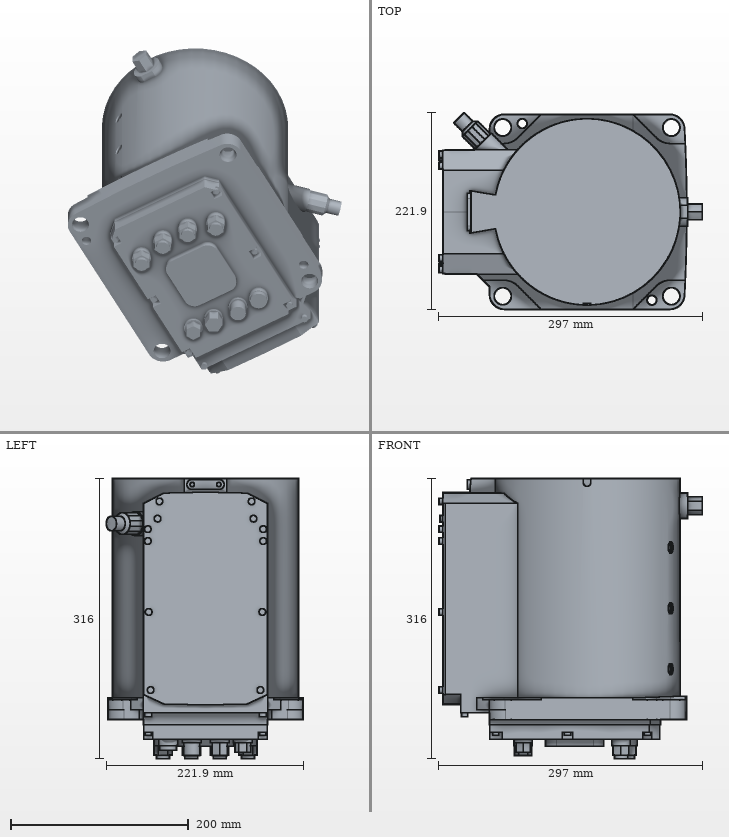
import cadquery as cq
import math


DRUM_RADIUS = 105.0
DRUM_TOP = 272.0

FLANGE_HALF = 110.0
FLANGE_TOP = 24.5
FLANGE_CORNER_RADIUS = 17.0
FLANGE_LOWER_CORNER_RADIUS = 18.0
RECESS_DEPTH = 4.5
FLANGE_BULGE = 2.5
RAMP_TOP = 26.7
BOLT_OFFSET = 95.0
BOLT_DIAMETER = 19.0
DOWEL_X, DOWEL_Y = 73.0, 99.5
DOWEL_DIAMETER = 10.5
PAD_Z = 22.3
PAD_DIAGONAL_START = 51.6
PAD_EDGE_Y = 77.0
PAD_BLEND_RADIUS = 22.0
WEB_BOTTOM = 11.0
WEB_REACH = 14.5

HOUSING_HALF = 70.0
HOUSING_FRONT = -162.5
COVER_THICKNESS = 2.5
COVER_INSET = 0.5
HOUSING_RIDGE_TOP = 256.3
HOUSING_RIDGE_BOTTOM = 16.7
RIDGE_FALL = 1.0
SHOULDER_HALF = 47.0
SHOULDER_FALL = 11.7
SHOULDER_RISE = 10.7
FOOT_FRONT = -142.6
FOOT_BOTTOM = 7.7
COVER_SCREW_DIAMETER = 7.5
COVER_SCREW_HEIGHT = 4.5
FLAT_SCREW_HEIGHT = 3.3
COVER_SCREWS = [(52.0, 246.0), (65.0, 214.7), (65.0, 201.3), (64.0, 121.4), (61.8, 33.4)]
FLAT_SCREW = (54.0, 226.5)
FOOT_SCREW_INSET_X = 4.6
FOOT_SCREW_Y = 64.5

LUG_FRONT_TOP = -130.7
LUG_FRONT_BOTTOM = -132.5
LUG_ROOT_X = -103.0
LUG_ROOT_HALF = 19.0
LUG_FRONT_HALF = 24.0
LABEL_FRONT = -135.0
LABEL_WIDTH, LABEL_HEIGHT = 42.0, 10.8
LABEL_Z = 265.0
LABEL_SCREW_Y = 15.0
LABEL_SCREW_DIAMETER = 5.0
LABEL_SCREW_DEPTH = 1.0

NOTCH_WIDTH, NOTCH_HEIGHT, NOTCH_DEPTH = 8.5, 9.0, 2.0
PORT_ANGLE = -26.0
PORT_DIAMETER, PORT_DEPTH = 12.5, 2.0
PORT_BORE_DIAMETER, PORT_BORE_DEPTH = 6.0, 8.0
PORT_LOWEST_Z, PORT_PITCH = 57.0, 68.5
PORT_COUNT = 3

PLUG_Z = 241.0
PLUG_NUT_DIAMETER, PLUG_NUT_FLATS, PLUG_NUT_END = 32.4, 29.0, 113.3
PLUG_STEM_FLATS, PLUG_STEM_END = 17.8, 130.0

GLAND_END = (-144.4, 106.1)
GLAND_Z = 221.0
GLAND_TIP_DIAMETER, GLAND_TIP_LENGTH = 16.5, 13.8
GLAND_CONE_LENGTH = 3.8
GLAND_BODY_DIAMETER, GLAND_BODY_LENGTH, GLAND_BODY_SIDES = 25.3, 20.5, 12
GLAND_COLLAR_DIAMETER, GLAND_COLLAR_LENGTH = 27.0, 32.0

BOX_START, BOX_END = -110.0, 83.0
BOX_CORNER = 12.0
BOX_LIP_BOTTOM = -5.5
BOX_LIP_OVERHANG = 1.0
BOX_LIP_STEP = 0.3
BOX_BOTTOM = -22.2
BOX_POCKET_TOP = -14.4
BOX_POCKET_DEPTH = 10.5
BOX_POCKETS = [(-110.0, -95.5), (-28.0, -16.0), (63.0, 73.0)]
BOX_SCREW_DIAMETER, BOX_SCREW_HEIGHT = 7.0, 3.4
BOX_SCREW_INSET = 5.5

SOCKET_X = -14.0
SOCKET_LENGTH, SOCKET_WIDTH, SOCKET_HEIGHT = 66.0, 64.0, 7.8
SOCKET_RADIUS = 12.0
PART_BOTTOM = -44.0
CONNECTOR_COLLAR_DIAMETER = 21.0
LONG_COLLAR_BOTTOM, SHORT_COLLAR_BOTTOM = -29.2, -25.7
REAR_CONNECTORS = [(38.2, 47.8), (46.2, 16.0), (46.2, -16.0), (38.2, -47.8)]
REAR_HEX_FLATS, REAR_HEX_BOTTOM = 18.0, -39.8
REAR_TIP_DIAMETER = 15.0
FRONT_ROW_X = -72.0
FRONT_ROUND_CONNECTORS = [
    (42.0, 19.0, LONG_COLLAR_BOTTOM, -34.5),
    (15.5, 17.5, SHORT_COLLAR_BOTTOM, -40.5),
]
FRONT_HEX_CONNECTORS = [
    (-16.0, 17.0, SHORT_COLLAR_BOTTOM, -40.5, (1, 0, 0)),
    (-42.0, 15.5, SHORT_COLLAR_BOTTOM, -36.7, (0, 1, 0)),
]

OVERLAP = 2.0


def block(x0, x1, half_width, z0, z1):
    """Box centred on the XZ plane."""
    return cq.Workplane("XY").box(x1 - x0, 2 * half_width, z1 - z0, centered=False).translate(
        (x0, -half_width, z0))


def post(x, y, z0, z1, diameter):
    """Vertical cylinder between two heights."""
    return cq.Workplane("XY", origin=(x, y, z0)).circle(diameter / 2).extrude(z1 - z0)


def hexagon(plane, flats, length):
    """Hexagonal prism with two corners on the plane's local x axis."""
    return cq.Workplane(plane).polygon(6, flats / math.cos(math.pi / 6)).extrude(length)


def make_plate():
    """Flange plate with a shallow recess low on its -X side to take the connection box."""
    blank = block(-FLANGE_HALF, FLANGE_HALF, FLANGE_HALF, 0, FLANGE_TOP)
    blank = blank.edges("|Z and >X").fillet(FLANGE_CORNER_RADIUS)
    lower = block(-FLANGE_HALF, 0, FLANGE_HALF, 0, WEB_BOTTOM)
    upper_part = blank.cut(lower).edges("|Z and <X").fillet(FLANGE_CORNER_RADIUS)
    lower_part = blank.edges("|Z and <X").fillet(FLANGE_LOWER_CORNER_RADIUS).intersect(lower)
    recess_side = HOUSING_HALF + RECESS_DEPTH
    recess = (
        cq.Workplane("XY")
        .polyline([
            (-FLANGE_HALF, -recess_side),
            (-FLANGE_HALF + RECESS_DEPTH, -HOUSING_HALF),
            (-FLANGE_HALF + RECESS_DEPTH, HOUSING_HALF),
            (-FLANGE_HALF, recess_side),
        ])
        .close()
        .extrude(WEB_BOTTOM)
    )
    return upper_part.union(lower_part).cut(recess)


def make_ramp():
    """Gently rising +X part of the flange, with a slightly bowed outer side."""
    edge = FLANGE_HALF + FLANGE_BULGE
    corner_start = FLANGE_HALF - FLANGE_CORNER_RADIUS
    profile = (
        cq.Workplane("XZ")
        .polyline([
            (PAD_DIAGONAL_START, 0),
            (PAD_DIAGONAL_START, FLANGE_TOP),
            (edge, RAMP_TOP),
            (edge, 0),
        ])
        .close()
        .extrude(FLANGE_HALF, both=True)
    )
    bowed_side = (
        cq.Workplane("XY")
        .moveTo(0, -FLANGE_HALF)
        .lineTo(corner_start, -FLANGE_HALF)
        .lineTo(FLANGE_HALF, -corner_start)
        .threePointArc((edge, 0), (FLANGE_HALF, corner_start))
        .lineTo(corner_start, FLANGE_HALF)
        .lineTo(0, FLANGE_HALF)
        .close()
        .extrude(RAMP_TOP)
    )
    return profile.intersect(bowed_side)


def make_web():
    """Upper part of the flange reaching past its -X edge beside the housing."""
    web_end = HOUSING_HALF + WEB_REACH
    return (
        cq.Workplane("XY", origin=(0, 0, WEB_BOTTOM))
        .polyline([
            (-FLANGE_HALF - WEB_REACH, -HOUSING_HALF),
            (-FLANGE_HALF, -web_end),
            (-BOLT_OFFSET, -web_end),
            (-BOLT_OFFSET, web_end),
            (-FLANGE_HALF, web_end),
            (-FLANGE_HALF - WEB_REACH, HOUSING_HALF),
        ])
        .close()
        .extrude(FLANGE_TOP - WEB_BOTTOM)
    )


def make_pad_cutter():
    """Volume above the lowered pad at the (+X, +Y) corner.

    Its inner edge is a 45 degree line blended into a line along X.
    """
    outer = FLANGE_HALF + WEB_REACH
    bend_x = PAD_DIAGONAL_START + FLANGE_HALF - PAD_EDGE_Y
    cutter = (
        cq.Workplane("XY", origin=(0, 0, PAD_Z))
        .polyline([
            (PAD_DIAGONAL_START - WEB_REACH, outer),
            (bend_x, PAD_EDGE_Y),
            (outer, PAD_EDGE_Y),
            (outer, outer),
        ])
        .close()
        .extrude(RAMP_TOP - PAD_Z)
    )
    bend = cq.selectors.NearestToPointSelector((bend_x, PAD_EDGE_Y, (PAD_Z + RAMP_TOP) / 2))
    return cutter.edges(bend).fillet(PAD_BLEND_RADIUS)


def make_flange():
    flange = make_plate().union(make_ramp()).union(make_web())
    cutter = make_pad_cutter()
    for half in (cutter, cutter.mirror("YZ")):
        flange = flange.cut(half).cut(half.mirror("XZ"))

    for sx in (-1, 1):
        for sy in (-1, 1):
            bolt_hole = post(sx * BOLT_OFFSET, sy * BOLT_OFFSET, 0, FLANGE_TOP, BOLT_DIAMETER)
            flange = flange.cut(bolt_hole)
        flange = flange.cut(post(sx * DOWEL_X, -sx * DOWEL_Y, 0, FLANGE_TOP, DOWEL_DIAMETER))
    return flange


def housing_section(x0, x1, inset):
    """Ridged eight-sided section of the terminal housing between two X positions."""
    half = HOUSING_HALF - inset
    top, bottom = HOUSING_RIDGE_TOP, HOUSING_RIDGE_BOTTOM
    reach = (half - SHOULDER_HALF) / (HOUSING_HALF - SHOULDER_HALF)
    right_side = [
        (SHOULDER_HALF, top - RIDGE_FALL),
        (half, top - RIDGE_FALL - SHOULDER_FALL * reach),
        (half, bottom + RIDGE_FALL + SHOULDER_RISE * reach),
        (SHOULDER_HALF, bottom + RIDGE_FALL),
    ]
    left_side = [(-y, z) for y, z in reversed(right_side)]
    outline = [(0, top)] + right_side + [(0, bottom)] + left_side
    return cq.Workplane("YZ", origin=(x0, 0, 0)).polyline(outline).close().extrude(x1 - x0)


def make_housing():
    foot_top = HOUSING_RIDGE_BOTTOM + RIDGE_FALL + SHOULDER_RISE
    seam = HOUSING_FRONT + COVER_THICKNESS
    housing = housing_section(seam, 0, 0)
    housing = housing.union(housing_section(HOUSING_FRONT, seam, COVER_INSET))
    housing = housing.union(block(FOOT_FRONT, 0, HOUSING_HALF, FOOT_BOTTOM, foot_top))
    screws = [(y, z, COVER_SCREW_HEIGHT) for y, z in COVER_SCREWS]
    screws.append((*FLAT_SCREW, FLAT_SCREW_HEIGHT))
    for y, z, height in screws:
        for side in (-1, 1):
            head = (
                cq.Workplane("YZ", origin=(HOUSING_FRONT - height, side * y, z))
                .circle(COVER_SCREW_DIAMETER / 2)
                .extrude(height + OVERLAP)
            )
            housing = housing.union(head)
    for side in (-1, 1):
        x, y = FOOT_FRONT + FOOT_SCREW_INSET_X, side * FOOT_SCREW_Y
        z0, z1 = FOOT_BOTTOM - COVER_SCREW_HEIGHT, FOOT_BOTTOM + OVERLAP
        housing = housing.union(post(x, y, z0, z1, COVER_SCREW_DIAMETER))
    return housing


def make_lug():
    lug_bottom = HOUSING_RIDGE_TOP - RIDGE_FALL - OVERLAP
    plan = (
        cq.Workplane("XY", origin=(0, 0, lug_bottom))
        .polyline([
            (LUG_ROOT_X, -LUG_ROOT_HALF),
            (LUG_FRONT_BOTTOM, -LUG_FRONT_HALF),
            (LUG_FRONT_BOTTOM, LUG_FRONT_HALF),
            (LUG_ROOT_X, LUG_ROOT_HALF),
            (0, LUG_ROOT_HALF),
            (0, -LUG_ROOT_HALF),
        ])
        .close()
        .extrude(DRUM_TOP - lug_bottom)
    )
    slope = (
        cq.Workplane("XZ")
        .polyline([
            (LUG_FRONT_BOTTOM, lug_bottom),
            (LUG_FRONT_TOP, DRUM_TOP),
            (LUG_FRONT_BOTTOM, DRUM_TOP),
        ])
        .close()
        .extrude(LUG_FRONT_HALF, both=True)
    )
    label = (
        cq.Workplane("YZ", origin=(LABEL_FRONT, 0, LABEL_Z))
        .slot2D(LABEL_WIDTH, LABEL_HEIGHT)
        .extrude(LUG_FRONT_TOP - LABEL_FRONT)
    )
    recesses = (
        cq.Workplane("YZ", origin=(LABEL_FRONT, 0, LABEL_Z))
        .pushPoints([(-LABEL_SCREW_Y, 0), (LABEL_SCREW_Y, 0)])
        .circle(LABEL_SCREW_DIAMETER / 2)
        .extrude(LABEL_SCREW_DEPTH)
    )
    return plan.cut(slope).union(label).cut(recesses)


def cut_drum_details(body):
    notch_radius = NOTCH_WIDTH / 2
    notch_z = DRUM_TOP - NOTCH_HEIGHT + notch_radius
    notch = (
        cq.Workplane("XZ", origin=(0, -DRUM_RADIUS + NOTCH_DEPTH, notch_z))
        .moveTo(-notch_radius, 0)
        .threePointArc((0, -notch_radius), (notch_radius, 0))
        .lineTo(notch_radius, NOTCH_HEIGHT)
        .lineTo(-notch_radius, NOTCH_HEIGHT)
        .close()
        .extrude(NOTCH_DEPTH + OVERLAP)
    )
    body = body.cut(notch)
    angle = math.radians(PORT_ANGLE)
    outward = cq.Vector(math.cos(angle), math.sin(angle), 0)
    for index in range(PORT_COUNT):
        centre = cq.Vector(0, 0, PORT_LOWEST_Z + index * PORT_PITCH)
        for diameter, depth in ((PORT_DIAMETER, PORT_DEPTH), (PORT_BORE_DIAMETER, PORT_BORE_DEPTH)):
            start = centre + outward * (DRUM_RADIUS - depth)
            plane = cq.Plane(origin=start, xDir=(0, 0, 1), normal=outward)
            body = body.cut(cq.Workplane(plane).circle(diameter / 2).extrude(depth + OVERLAP))
    return body


def make_side_plug():
    inside = DRUM_RADIUS - OVERLAP
    stem_plane = cq.Plane(origin=(inside, 0, PLUG_Z), xDir=(0, 0, 1), normal=(1, 0, 0))
    nut = (
        cq.Workplane("YZ", origin=(inside, 0, PLUG_Z))
        .circle(PLUG_NUT_DIAMETER / 2)
        .extrude(PLUG_NUT_END - inside)
    )
    half_flats = PLUG_NUT_FLATS / 2
    flats = block(inside, PLUG_NUT_END, PLUG_NUT_DIAMETER, PLUG_Z - half_flats, PLUG_Z + half_flats)
    nut = nut.intersect(flats)
    return nut.union(hexagon(stem_plane, PLUG_STEM_FLATS, PLUG_STEM_END - inside))


def make_angled_gland():
    inward = cq.Vector(1, -1, 0).normalized()

    def plane_at(distance):
        origin = cq.Vector(GLAND_END[0], GLAND_END[1], GLAND_Z) + inward * distance
        return cq.Plane(origin=origin, xDir=(1, 1, 0), normal=inward)

    body_start = GLAND_TIP_LENGTH + GLAND_CONE_LENGTH
    collar_start = body_start + GLAND_BODY_LENGTH
    tip = cq.Workplane(plane_at(0)).circle(GLAND_TIP_DIAMETER / 2).extrude(body_start)
    cone = (
        cq.Workplane(plane_at(GLAND_TIP_LENGTH))
        .circle(GLAND_TIP_DIAMETER / 2)
        .workplane(offset=GLAND_CONE_LENGTH)
        .circle(GLAND_BODY_DIAMETER * math.cos(math.pi / GLAND_BODY_SIDES) / 2)
        .loft()
    )
    half_step = 180 / GLAND_BODY_SIDES
    body = (
        cq.Workplane(plane_at(body_start).rotated((0, 0, half_step)))
        .polygon(GLAND_BODY_SIDES, GLAND_BODY_DIAMETER)
        .extrude(GLAND_BODY_LENGTH)
    )
    collar = (
        cq.Workplane(plane_at(collar_start))
        .circle(GLAND_COLLAR_DIAMETER / 2)
        .extrude(GLAND_COLLAR_LENGTH)
    )
    return tip.union(cone).union(body).union(collar)


def make_connection_box():
    lip = block(BOX_START, BOX_END, HOUSING_HALF, BOX_LIP_BOTTOM, FOOT_BOTTOM)
    base_start = BOX_START + BOX_LIP_STEP
    base_end = BOX_END - BOX_LIP_OVERHANG
    base = block(base_start, base_end, HOUSING_HALF - BOX_LIP_STEP, BOX_BOTTOM, BOX_LIP_BOTTOM)
    far_corners = "|Z and >X"
    box = lip.edges(far_corners).chamfer(BOX_CORNER).union(base.edges(far_corners).chamfer(BOX_CORNER))
    head_bottom = BOX_POCKET_TOP - BOX_SCREW_HEIGHT
    for x0, x1 in BOX_POCKETS:
        x = (x0 + x1) / 2
        for side in (-1, 1):
            pocket_y = side * (HOUSING_HALF - BOX_POCKET_DEPTH / 2)
            pocket = (
                cq.Workplane("XY", origin=(x, pocket_y, BOX_BOTTOM))
                .rect(x1 - x0, BOX_POCKET_DEPTH)
                .extrude(BOX_POCKET_TOP - BOX_BOTTOM)
            )
            head_y = side * (HOUSING_HALF - BOX_SCREW_INSET)
            head = post(x, head_y, head_bottom, BOX_POCKET_TOP + OVERLAP, BOX_SCREW_DIAMETER)
            box = box.cut(pocket).union(head)
    return box


def front_connector(y, collar_bottom, bottom, nut):
    """Round collar with a nut reaching below it."""
    collar = post(FRONT_ROW_X, y, collar_bottom, BOX_BOTTOM + OVERLAP, CONNECTOR_COLLAR_DIAMETER)
    return collar.union(nut.translate((FRONT_ROW_X, y, bottom)))


def hex_nut(flats, bottom, corner_direction):
    """Upright hexagonal nut reaching from its bottom height up into the box."""
    plane = cq.Plane(origin=(0, 0, 0), xDir=corner_direction, normal=(0, 0, 1))
    return hexagon(plane, flats, BOX_BOTTOM + OVERLAP - bottom)


def make_connectors():
    root = BOX_BOTTOM + OVERLAP
    connectors = (
        cq.Workplane("XY", origin=(SOCKET_X, 0, BOX_BOTTOM - SOCKET_HEIGHT))
        .rect(SOCKET_LENGTH, SOCKET_WIDTH)
        .extrude(SOCKET_HEIGHT + OVERLAP)
        .edges("|Z")
        .fillet(SOCKET_RADIUS)
    )
    for x, y in REAR_CONNECTORS:
        nut = hex_nut(REAR_HEX_FLATS, REAR_HEX_BOTTOM, (0, 1, 0))
        connectors = connectors.union(nut.translate((x, y, REAR_HEX_BOTTOM)))
        connectors = connectors.union(post(x, y, LONG_COLLAR_BOTTOM, root, CONNECTOR_COLLAR_DIAMETER))
        connectors = connectors.union(post(x, y, PART_BOTTOM, root, REAR_TIP_DIAMETER))

    for y, diameter, collar_bottom, bottom in FRONT_ROUND_CONNECTORS:
        nut = post(0, 0, 0, root - bottom, diameter)
        connectors = connectors.union(front_connector(y, collar_bottom, bottom, nut))
    for y, flats, collar_bottom, bottom, corner_direction in FRONT_HEX_CONNECTORS:
        nut = hex_nut(flats, bottom, corner_direction)
        connectors = connectors.union(front_connector(y, collar_bottom, bottom, nut))
    return connectors


drum = post(0, 0, 0, DRUM_TOP, 2 * DRUM_RADIUS)
body = drum.union(make_flange()).union(make_housing()).union(make_lug())
body = body.union(make_side_plug()).union(make_angled_gland())
body = body.union(make_connection_box()).union(make_connectors())
result = cut_drum_details(body)